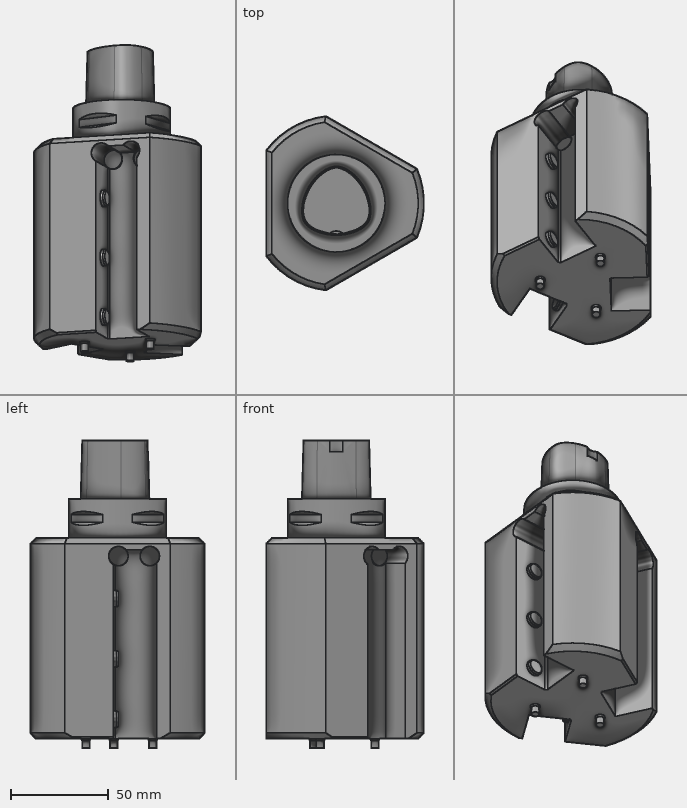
import cadquery as cq
import math

THIRD_TURN = 120

BODY_RADIUS = 45.0
FLAT_DISTANCE = 36.0
BODY_HEIGHT = 102.9
EDGE_CHAMFER = 3.0
FLAT_ANGLES = (60, 60 + THIRD_TURN, 60 + 2 * THIRD_TURN)
FLAT_BOTTOM_CHAMFER = 1.0

SLOT_START = -2.0
SLOT_END = 20.0
SLOT_DEPTH = 20.0
SLOT_TOP = 96.7
SLOT_FLOOR_CHAMFER = 1.0

RELIEF_DIAMETER = 10.0
RELIEF_POSITIONS = (0.5, 16.5)
RELIEF_HEIGHT = 93.5
RELIEF_DEPTH = 21.0

STUD_DIAMETER = 8.5
STUD_DISTANCE = 11.4
STUD_REACH = 2.4
STUD_CHAMFER = 1.0
STUD_CHAMFER_RADIAL = 0.5
STUD_COUNT = 3
STUD_LOWEST = 10.0
STUD_PITCH = 30.9

PIN_DIAMETER = 4.0
PIN_ROOT_DIAMETER = 5.0
PIN_ROOT_HEIGHT = 1.0
PIN_CIRCLE_RADIUS = 19.9
PIN_ANGLE = 5.5
PIN_ANGLES = (PIN_ANGLE, PIN_ANGLE + THIRD_TURN, PIN_ANGLE + 2 * THIRD_TURN)

COLLAR_DIAMETER = 50.0
COLLAR_HEIGHT = 20.0
POCKET_ANGLES = (45, 135, 225, 315)
POCKET_FLOOR_DISTANCE = 22.2
POCKET_FLOOR_HEIGHT = 4.0
POCKET_SLOPE = 30

SHANK_HEIGHT = 30
SHANK_BASE_RADIUS = 17.7
SHANK_TOP_RADIUS = 16.9
SHANK_LOBES = 3
SHANK_LOBE_RISE = 1.3
SHANK_SIDE_ANGLES = (30, 30 + THIRD_TURN, 30 + 2 * THIRD_TURN)
SHANK_SIDE_HALF_SPAN = 23.5
NOTCH_DIAMETER = 10.0
NOTCH_FLOOR_DISTANCE = 14.2
NOTCH_DEPTH = 5.8

OVERALL_HEIGHT = 157.8
COLLAR_TOP = BODY_HEIGHT + COLLAR_HEIGHT
SHANK_TOP = COLLAR_TOP + SHANK_HEIGHT
PIN_LENGTH = OVERALL_HEIGHT - SHANK_TOP
OVERCUT = 7.9


def turned(shape, angle):
    """Turn a shape about the Z axis."""
    return shape.rotate((0, 0, 0), (0, 0, 1), angle)


def make_body():
    corner_distance = 2 * FLAT_DISTANCE
    triangle = cq.Workplane("XY").polygon(3, 2 * corner_distance).extrude(BODY_HEIGHT)
    bar = cq.Workplane("XY").circle(BODY_RADIUS).extrude(BODY_HEIGHT)
    body = bar.intersect(triangle).faces(">Z").chamfer(EDGE_CHAMFER)
    return body.intersect(bar.faces("<Z").chamfer(EDGE_CHAMFER))



def make_slot():
    floor = FLAT_DISTANCE - SLOT_DEPTH
    mouth = FLAT_DISTANCE + OVERCUT
    slot = (
        cq.Workplane("XY")
        .moveTo(mouth, SLOT_START)
        .lineTo(floor + SLOT_FLOOR_CHAMFER, SLOT_START)
        .lineTo(floor, SLOT_START + SLOT_FLOOR_CHAMFER)
        .lineTo(floor, SLOT_END)
        .lineTo(mouth, SLOT_END)
        .close()
        .extrude(SLOT_TOP)
    )
    reliefs = (
        cq.Workplane("YZ", origin=(FLAT_DISTANCE - RELIEF_DEPTH, 0, 0))
        .pushPoints([(position, RELIEF_HEIGHT) for position in RELIEF_POSITIONS])
        .circle(RELIEF_DIAMETER / 2)
        .extrude(RELIEF_DEPTH + OVERCUT)
    )
    return slot.union(reliefs)


def make_flat_bevel():
    """Small bevel under the flat, only on the side where the slot starts."""
    return (
        cq.Workplane("XZ", origin=(0, SLOT_START, 0))
        .moveTo(FLAT_DISTANCE - FLAT_BOTTOM_CHAMFER, 0)
        .lineTo(FLAT_DISTANCE, FLAT_BOTTOM_CHAMFER)
        .lineTo(FLAT_DISTANCE, 0)
        .close()
        .extrude(BODY_RADIUS)
    )


def make_studs():
    radius = STUD_DIAMETER / 2
    stud = (
        cq.Workplane("XZ", origin=(FLAT_DISTANCE - STUD_DISTANCE, SLOT_START, STUD_LOWEST))
        .circle(radius)
        .extrude(-STUD_REACH)
        .faces(">Y")
        .chamfer(STUD_CHAMFER, STUD_CHAMFER_RADIAL)
    )
    studs = stud
    for index in range(1, STUD_COUNT):
        studs = studs.union(stud.translate((0, 0, index * STUD_PITCH)))
    return studs


def make_pin():
    radius = PIN_DIAMETER / 2
    return (
        cq.Workplane("XZ")
        .lineTo(PIN_ROOT_DIAMETER / 2, 0)
        .lineTo(radius, -PIN_ROOT_HEIGHT)
        .lineTo(radius, -PIN_LENGTH)
        .lineTo(0, -PIN_LENGTH)
        .close()
        .revolve(360, (0, 0, 0), (0, 1, 0))
        .translate((PIN_CIRCLE_RADIUS, 0, 0))
    )


def make_collar():
    radius = COLLAR_DIAMETER / 2
    collar = cq.Workplane("XY", origin=(0, 0, BODY_HEIGHT)).circle(radius).extrude(COLLAR_HEIGHT)
    mouth_distance = radius + OVERCUT
    floor_half = POCKET_FLOOR_HEIGHT / 2
    widening = (mouth_distance - POCKET_FLOOR_DISTANCE) * math.tan(math.radians(POCKET_SLOPE))
    mouth_half = floor_half + widening
    pocket = (
        cq.Workplane("XZ", origin=(0, 0, BODY_HEIGHT + COLLAR_HEIGHT / 2))
        .moveTo(POCKET_FLOOR_DISTANCE, -floor_half)
        .lineTo(mouth_distance, -mouth_half)
        .lineTo(mouth_distance, mouth_half)
        .lineTo(POCKET_FLOOR_DISTANCE, floor_half)
        .close()
        .extrude(radius, both=True)
    )
    for angle in POCKET_ANGLES:
        collar = collar.cut(turned(pocket, angle))
    return collar


def shank_point(mean_radius, height, normal_angle):
    """Point of the three-lobed outline, one lobe toward +Y, where its normal has the given angle."""
    angle = math.radians(normal_angle)
    lobe_angle = SHANK_LOBES * (angle - math.pi / 2)
    reach = mean_radius + SHANK_LOBE_RISE * math.cos(lobe_angle)
    reach_slope = -SHANK_LOBES * SHANK_LOBE_RISE * math.sin(lobe_angle)
    return cq.Vector(
        reach * math.cos(angle) - reach_slope * math.sin(angle),
        reach * math.sin(angle) + reach_slope * math.cos(angle),
        height,
    )


def outline_direction(normal_angle):
    angle = math.radians(normal_angle)
    return cq.Vector(-math.sin(angle), math.cos(angle), 0)


def shank_arc(mean_radius, height, start, end):
    """Smooth piece of the outline between two normal angles."""
    pieces = 6
    normal_angles = [start + (end - start) * index / pieces for index in range(pieces + 1)]
    points = [shank_point(mean_radius, height, angle) for angle in normal_angles]
    tangents = [outline_direction(angle) for angle in (start, end)]
    return cq.Edge.makeSpline(points, tangents=tangents)


def shank_outline(mean_radius, height):
    edges = []
    for side_angle in SHANK_SIDE_ANGLES:
        side_start = side_angle - SHANK_SIDE_HALF_SPAN
        side_end = side_angle + SHANK_SIDE_HALF_SPAN
        edges.append(shank_arc(mean_radius, height, side_start, side_end))
        edges.append(shank_arc(mean_radius, height, side_end, side_start + THIRD_TURN))
    return cq.Wire.assembleEdges(edges)


def make_shank():
    base = shank_outline(SHANK_BASE_RADIUS, COLLAR_TOP)
    top = shank_outline(SHANK_TOP_RADIUS, SHANK_TOP)
    shank = cq.Workplane(cq.Solid.makeLoft([base, top], True))
    notch_radius = NOTCH_DIAMETER / 2
    notch = (
        cq.Workplane("XY", origin=(0, -NOTCH_FLOOR_DISTANCE - notch_radius, SHANK_TOP - NOTCH_DEPTH))
        .circle(notch_radius)
        .extrude(NOTCH_DEPTH)
    )
    return shank.cut(notch)


body = make_body()
for flat_angle in FLAT_ANGLES:
    body = body.cut(turned(make_flat_bevel(), flat_angle))
    body = body.cut(turned(make_slot(), flat_angle))
    body = body.union(turned(make_studs(), flat_angle))

for pin_angle in PIN_ANGLES:
    body = body.union(turned(make_pin(), pin_angle))

result = body.union(make_collar()).union(make_shank())